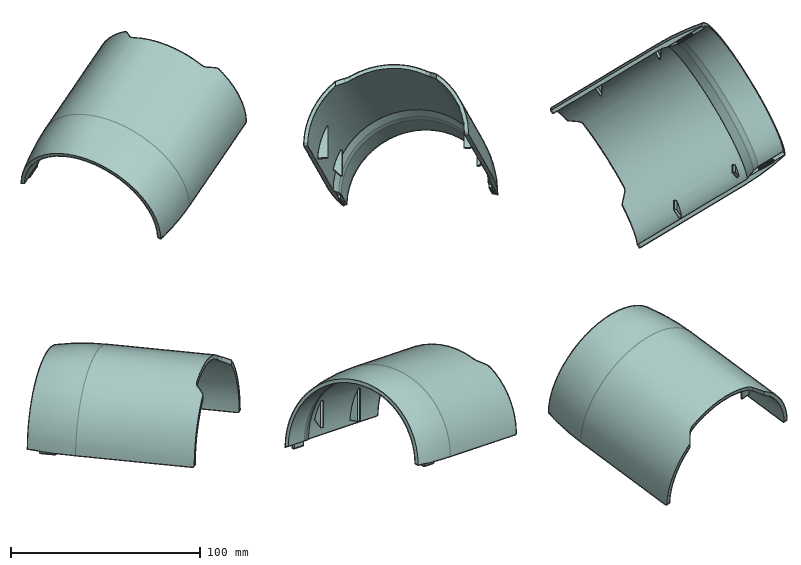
import cadquery as cq
import math

length = 92.5
width = 88.9
overall_height = 46.4
rear_y = length / 2
front_y = -length / 2

barrel_radius = width / 2
rim_drop = 2.8
taper_length = 27.4
taper_start_y = front_y + taper_length
rim_radius = barrel_radius - rim_drop
taper_arc_radius = (taper_length**2 + rim_drop**2) / (2 * rim_drop)
half_taper_angle = math.atan2(rim_drop, taper_length)
taper_mid_y = taper_start_y - taper_arc_radius * math.sin(half_taper_angle)
taper_mid_radius = barrel_radius - taper_arc_radius * (1 - math.cos(half_taper_angle))

collar_radius = 39.7
collar_end_y = -30.5
cone_break_radius = 40.3
cone_break_y = -27.4
rear_bore_radius = 42.3
cone_end_y = -22.2

edge_bevel_width = 1.85
edge_bevel_height = 0.7

notch_half_width = 27.3
notch_depth = 5.4
notch_fillet = 3.7

rear_corner_radius = 1.1

tab_inner_x = 39.95
tab_thickness = 1.5
tab_front_y = -39.6
tab_length = 9.1
tab_drop = overall_height - barrel_radius
tab_root = 1.85
tab_chamfer = 0.5

rib_thickness = 1.5
rib_bevel = 0.9
rib_top_z = 20.3

gusset_face_x = 36.3
gusset_bottom_z = 5.9
gusset_front_y = -18.0

flat_rib_face_x = 36.6
flat_rib_bottom_z = 2.6
flat_rib_front_y = 18.5


def half_turn(profile):
    """Close a (radius, Y) profile and sweep it from +X over the top to -X."""
    return profile.close().revolve(180, (0, 0, 0), (0, -1, 0))


def outer_body():
    profile = (
        cq.Workplane("XY")
        .moveTo(0, front_y)
        .lineTo(rim_radius, front_y)
        .threePointArc((taper_mid_radius, taper_mid_y), (barrel_radius, taper_start_y))
        .lineTo(barrel_radius, rear_y)
        .lineTo(0, rear_y)
    )
    return half_turn(profile)


def bore():
    profile = (
        cq.Workplane("XY")
        .moveTo(0, front_y)
        .lineTo(collar_radius, front_y)
        .lineTo(collar_radius, collar_end_y)
        .lineTo(cone_break_radius, cone_break_y)
        .lineTo(rear_bore_radius, cone_end_y)
        .lineTo(rear_bore_radius, rear_y)
        .lineTo(0, rear_y)
    )
    return half_turn(profile)


def extrude_back(points, start_y, thickness):
    """Extrude an (X, Z) outline towards +Y from start_y."""
    outline = cq.Workplane("XZ", origin=(0, start_y, 0)).polyline(points).close()
    return outline.extrude(-thickness)


def both_sides(solid):
    """The +X solid together with its mirror image on the -X side."""
    return solid.union(solid.mirror("YZ"))


def edge_bevel():
    slope = edge_bevel_height / edge_bevel_width
    outer_x = collar_radius + edge_bevel_width
    inner_x = collar_radius - edge_bevel_width
    inner_z = (outer_x - inner_x) * slope
    points = [(outer_x, 0), (inner_x, inner_z), (inner_x, 0)]
    return extrude_back(points, front_y, length)


def rear_notch():
    floor_half_width = notch_half_width - notch_depth
    floor_y = rear_y - notch_depth
    outline = [
        (-notch_half_width, rear_y),
        (-floor_half_width, floor_y),
        (floor_half_width, floor_y),
        (notch_half_width, rear_y),
    ]
    prism = cq.Workplane("XY").polyline(outline).close().extrude(barrel_radius)
    return prism.edges("|Z and <Y").fillet(notch_fillet)


def snap_tab():
    block = cq.Workplane("XY").box(tab_thickness, tab_length, tab_drop + tab_root, centered=False)
    block = block.translate((tab_inner_x, tab_front_y, -tab_drop))
    return block.faces("<Z").edges().chamfer(tab_chamfer)


def rib(face_x, bottom_z, front_edge_y, underside_rise):
    """Plate from face_x into the wall; beyond the bevel its underside climbs at underside_rise."""
    outer_x = (barrel_radius + rear_bore_radius) / 2
    climb_start_x = face_x + rib_bevel
    outer_bottom_z = bottom_z + underside_rise * (outer_x - climb_start_x)
    points = [
        (face_x, bottom_z),
        (climb_start_x, bottom_z),
        (outer_x, outer_bottom_z),
        (outer_x, rib_top_z),
        (face_x, rib_top_z),
    ]
    plate = extrude_back(points, front_edge_y, rib_thickness)
    plate = plate.faces("<X").edges("<Y").chamfer(rib_bevel)
    wall_core = cq.Workplane("XZ", origin=(0, front_edge_y, 0)).circle(outer_x).extrude(-rib_thickness)
    return plate.intersect(wall_core)


shell = outer_body().cut(bore())
shell = shell.cut(both_sides(edge_bevel()))
shell = shell.cut(rear_notch())
shell = shell.edges("|X and >Y and <Z").fillet(rear_corner_radius)

gusset = rib(gusset_face_x, gusset_bottom_z, gusset_front_y, underside_rise=1)
flat_rib = rib(flat_rib_face_x, flat_rib_bottom_z, flat_rib_front_y, underside_rise=0)

result = shell
for feature in (gusset, flat_rib, snap_tab()):
    result = result.union(feature).union(feature.mirror("YZ"))